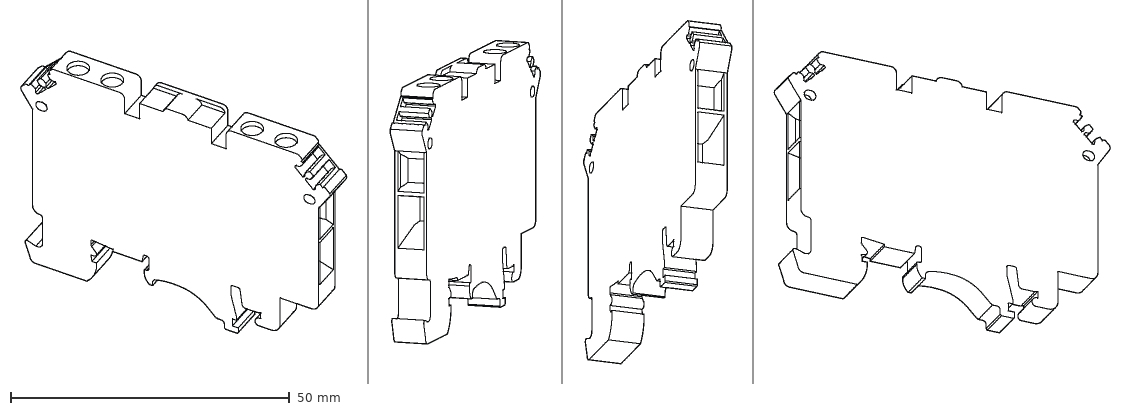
import cadquery as cq
import math

THICKNESS = 6.1
HEIGHT = 45.8
TIP_X = 31.8
BODY_X = 29.4
BODY_BOTTOM_Z = 11.5
BODY_CORNER_R = 1.45
EAR_BASE_Z = 35.0

SLOT_INNER_X = 7.4
SLOT_OUTER_X = 10.4
SLOT_FLOOR_Z = 41.35
TOP_CORNER_R = 1.15

RECESS_DEPTH = 0.95
RECESS_BACK_WALL = 1.0
RECESS_CREST_R = 1.2
CREST_X = 1.4

SCREW_HOLE_D = 4.1
SCREW_HOLE_DEPTH = 1.0
SCREW_HOLE_X = (14.4, 21.4)
SCREW_HOLE_Y = 2.5

GROOVE_BACK_WALL = 0.5
GROOVE_MOUTHS = ((-26.95, 43.45), (-29.1, 41.35))
GROOVE_MOUTH_HALF = 0.95
GROOVE_WAIST_HALF = 0.75
GROOVE_WAIST_DEPTHS = (0.7, 1.3)
GROOVE_LOBE_HALF = 1.3
GROOVE_LOBE_DEPTH = 1.85
GROOVE_FLOOR_HALF = 1.15
GROOVE_FLOOR_DEPTH = 2.3
GROOVE_LOBE_BULGE = 0.05
GROOVE_OVERSHOOT = 0.1

TEST_HOLE_X = 27.55
TEST_HOLE_Z = 36.4
TEST_HOLE_LENGTH = 2.3
TEST_HOLE_WIDTH = 1.9
TEST_HOLE_DEPTH = 1.9

FUNNEL_MOUTH_Y = (0.5, 5.5)
UPPER_MOUTH_Z = (27.6, EAR_BASE_Z)
UPPER_BACK_Y = (0.7, 4.7)
UPPER_BACK_Z = (28.75, 33.15)
UPPER_STRAIGHT = 1.5
UPPER_BEND = (2.1, 5.1)
UPPER_DEPTH = 3.25
LOWER_MOUTH_Z = (17.25, 26.85)
LOWER_BACK_Y = 4.95
LOWER_BACK_Z = (20.5, 24.9)
LOWER_STRAIGHT = 8.9
LOWER_DEPTH = 10.5


def rounding(center, radius, degrees):
    """Point on a circle in XZ at an angle from +X, used to draw corner arcs."""
    angle = math.radians(degrees)
    return (center[0] + radius * math.cos(angle), center[1] + radius * math.sin(angle))


def extrude_back(outline, depth):
    """Extrude a closed XZ outline from the front face towards +Y."""
    return outline.close().extrude(-depth)


def both_ends(shape):
    """The shape together with its mirror image across x = 0."""
    return shape.union(shape.mirror("YZ"))


def half_body():
    """Left half of the body, with its marker ear and top slot."""
    r = TOP_CORNER_R
    low = BODY_CORNER_R
    top_r_z = HEIGHT - r
    outline = (
        cq.Workplane("XZ")
        .moveTo(0, BODY_BOTTOM_Z)
        .lineTo(low - BODY_X, BODY_BOTTOM_Z)
        .threePointArc(
            rounding((low - BODY_X, BODY_BOTTOM_Z + low), low, 225),
            (-BODY_X, BODY_BOTTOM_Z + low),
        )
        .lineTo(-BODY_X, EAR_BASE_Z)
        .lineTo(-31.75, 38.55)
        .threePointArc((-TIP_X, 38.9), (-31.75, 39.3))
        .lineTo(-31.0, 40.05)
        .threePointArc((-30.65, 40.25), (-30.3, 40.05))
        .lineTo(-30.0, 40.4)
        .lineTo(-26.15, 44.25)
        .lineTo(-25.8, 44.4)
        .threePointArc((-26.0, 44.8), (-25.8, 45.2))
        .lineTo(-25.45, 45.6)
        .threePointArc((-25.25, 45.7), (-25.0, HEIGHT))
        .lineTo(-SLOT_OUTER_X - r, HEIGHT)
        .threePointArc(rounding((-SLOT_OUTER_X - r, top_r_z), r, 45), (-SLOT_OUTER_X, top_r_z))
        .lineTo(-SLOT_OUTER_X, SLOT_FLOOR_Z)
        .lineTo(-SLOT_INNER_X, SLOT_FLOOR_Z)
        .lineTo(-SLOT_INNER_X, top_r_z)
        .threePointArc(rounding((r - SLOT_INNER_X, top_r_z), r, 135), (r - SLOT_INNER_X, HEIGHT))
        .lineTo(0, HEIGHT)
    )
    return extrude_back(outline, THICKNESS)


def rail_foot():
    """Foot that clips on the mounting rail."""
    leg_left = -27.35
    leg_right = 21.5
    leg_blend = 0.6
    hook_blend = 1.0
    hook_z = 4.0
    toe_r = 1.9
    toe_z = 3.45
    overlap = 3.2
    inside_z = BODY_BOTTOM_Z + overlap
    outline = (
        cq.Workplane("XZ")
        .moveTo(leg_left - leg_blend, inside_z)
        .lineTo(leg_left - leg_blend, BODY_BOTTOM_Z)
        .threePointArc(
            rounding((leg_left - leg_blend, BODY_BOTTOM_Z - leg_blend), leg_blend, 45),
            (leg_left, BODY_BOTTOM_Z - leg_blend),
        )
        .lineTo(leg_left, hook_z + hook_blend)
        .threePointArc(
            rounding((leg_left - hook_blend, hook_z + hook_blend), hook_blend, -45),
            (leg_left - hook_blend, hook_z),
        )
        .lineTo(-28.7, hook_z)
        .lineTo(-30.35, 4.6)
        .threePointArc((-30.8, 4.45), (-30.85, 3.8))
        .lineTo(-29.95, 1.15)
        .threePointArc((-29.65, 0.4), (-28.9, 0))
        .lineTo(-18.2, 0)
        .threePointArc((-16.7, 2.05), (-16.2, 4.95))
        .lineTo(-17.2, 4.95)
        .lineTo(-17.35, 6.3)
        .lineTo(-16.7, 6.35)
        .threePointArc((-16.3, 6.7), (-16.3, 7.25))
        .lineTo(-17.25, 8.3)
        .lineTo(-17.35, 8.7)
        .lineTo(-17.35, 9.5)
        .threePointArc((-17.3, 9.7), (-17.0, 9.8))
        .lineTo(-12.85, 9.35)
        .lineTo(-12.85, 8.85)
        .lineTo(-6.9, 8.85)
        .lineTo(-6.7, 9.9)
        .threePointArc((-6.05, 10.55), (-5.5, 10.05))
        .lineTo(-5.5, 7.75)
        .threePointArc((-5.6, 7.4), (-5.9, 7.25))
        .threePointArc((-6.35, 7.2), (-6.4, 6.75))
        .threePointArc((-6.2, 5.3), (-5.35, 4.2))
        .lineTo(-4.7, 4.2)
        .lineTo(-4.7, 5.0)
        .threePointArc((-4.4, 5.6), (-3.75, 5.85))
        .threePointArc((-1.9, 6.2), (0.95, 6.2))
        .threePointArc((4.4, 5.2), (7.0, 3.2))
        .lineTo(8.15, 2.05)
        .lineTo(8.5, 1.8)
        .lineTo(9.4, 1.8)
        .threePointArc((9.85, 1.6), (10.05, 1.15))
        .lineTo(10.05, 0.25)
        .lineTo(10.3, 0)
        .lineTo(12.7, 0)
        .lineTo(12.9, 0.25)
        .lineTo(12.9, 1.35)
        .lineTo(11.7, 1.35)
        .lineTo(11.7, 2.9)
        .lineTo(12.5, 2.9)
        .lineTo(12.5, 3.8)
        .lineTo(11.4, 8.4)
        .lineTo(11.4, 10.1)
        .threePointArc((11.5, 10.4), (11.8, 10.55))
        .lineTo(12.85, 10.55)
        .threePointArc((13.15, 10.4), (13.3, 10.1))
        .lineTo(13.7, 7.1)
        .threePointArc((13.9, 6.55), (14.45, 6.35))
        .lineTo(16.9, 6.35)
        .lineTo(17.5, 6.55)
        .lineTo(17.5, 5.2)
        .threePointArc((16.6, 4.9), (16.35, 4.15))
        .threePointArc((16.55, 3.7), (17.05, toe_z))
        .lineTo(leg_right - toe_r, toe_z)
        .threePointArc(
            rounding((leg_right - toe_r, toe_z + toe_r), toe_r, -45), (leg_right, toe_z + toe_r)
        )
        .lineTo(leg_right, inside_z)
    )
    return extrude_back(outline, THICKNESS)


def centre_recess():
    """Shallow recess beside the crest, with a rounded crest edge."""
    r = RECESS_CREST_R
    floor_z = HEIGHT - RECESS_DEPTH
    crest_center = (-CREST_X, HEIGHT - r)
    floor_angle = 180 - math.degrees(math.asin((r - RECESS_DEPTH) / r))
    outline = (
        cq.Workplane("XZ")
        .moveTo(-CREST_X, HEIGHT)
        .threePointArc(
            rounding(crest_center, r, (90 + floor_angle) / 2),
            rounding(crest_center, r, floor_angle),
        )
        .lineTo(-SLOT_INNER_X, floor_z)
        .lineTo(-SLOT_INNER_X, HEIGHT)
    )
    return extrude_back(outline, THICKNESS - RECESS_BACK_WALL)


def screw_holes():
    points = [(-x, SCREW_HOLE_Y) for x in SCREW_HOLE_X]
    return (
        cq.Workplane("XY", origin=(0, 0, HEIGHT))
        .pushPoints(points)
        .circle(SCREW_HOLE_D / 2)
        .extrude(-SCREW_HOLE_DEPTH)
    )


def marker_groove(mouth):
    """Waisted groove entering the 45 degree ear face at right angles."""
    diagonal = math.sqrt(2)

    def at(across, depth):
        return (mouth[0] + (across + depth) / diagonal, mouth[1] + (across - depth) / diagonal)

    waist_start, waist_end = GROOVE_WAIST_DEPTHS
    lobe_mid = (GROOVE_LOBE_HALF + GROOVE_FLOOR_HALF) / 2 + GROOVE_LOBE_BULGE
    lobe_mid_depth = (GROOVE_LOBE_DEPTH + GROOVE_FLOOR_DEPTH) / 2
    outline = (
        cq.Workplane("XZ")
        .moveTo(*at(-GROOVE_MOUTH_HALF, 0))
        .lineTo(*at(-GROOVE_WAIST_HALF, waist_start))
        .lineTo(*at(-GROOVE_WAIST_HALF, waist_end))
        .lineTo(*at(-GROOVE_LOBE_HALF, GROOVE_LOBE_DEPTH))
        .threePointArc(at(-lobe_mid, lobe_mid_depth), at(-GROOVE_FLOOR_HALF, GROOVE_FLOOR_DEPTH))
        .lineTo(*at(GROOVE_FLOOR_HALF, GROOVE_FLOOR_DEPTH))
        .threePointArc(at(lobe_mid, lobe_mid_depth), at(GROOVE_LOBE_HALF, GROOVE_LOBE_DEPTH))
        .lineTo(*at(GROOVE_WAIST_HALF, waist_end))
        .lineTo(*at(GROOVE_WAIST_HALF, waist_start))
        .lineTo(*at(GROOVE_MOUTH_HALF, 0))
        .lineTo(*at(GROOVE_MOUTH_HALF, -GROOVE_OVERSHOOT))
        .lineTo(*at(-GROOVE_MOUTH_HALF, -GROOVE_OVERSHOOT))
    )
    return extrude_back(outline, THICKNESS - GROOVE_BACK_WALL)


def test_hole():
    return (
        cq.Workplane("XZ")
        .center(-TEST_HOLE_X, TEST_HOLE_Z)
        .slot2D(TEST_HOLE_LENGTH, TEST_HOLE_WIDTH)
        .extrude(-TEST_HOLE_DEPTH)
    )


def wire_funnel(mouth_z, back_z, depth, plan):
    """Funnel in the left end face: its side profile crossed with its plan.

    The plan is a list of (depth below the end face, y) points.
    """
    side = [(0, mouth_z[0]), (depth, back_z[0]), (depth, back_z[1]), (0, mouth_z[1])]
    side_outline = cq.Workplane("XZ", origin=(-BODY_X, 0, 0)).polyline(side)
    plan_outline = cq.Workplane("XY", origin=(-BODY_X, 0, 0)).polyline(plan)
    return extrude_back(side_outline, THICKNESS).intersect(plan_outline.close().extrude(HEIGHT))


def upper_funnel():
    plan = [
        (0, FUNNEL_MOUTH_Y[0]),
        (UPPER_STRAIGHT, FUNNEL_MOUTH_Y[0]),
        (UPPER_DEPTH, UPPER_BACK_Y[0]),
        (UPPER_DEPTH, UPPER_BACK_Y[1]),
        UPPER_BEND,
        (UPPER_STRAIGHT, FUNNEL_MOUTH_Y[1]),
        (0, FUNNEL_MOUTH_Y[1]),
    ]
    return wire_funnel(UPPER_MOUTH_Z, UPPER_BACK_Z, UPPER_DEPTH, plan)


def lower_funnel():
    plan = [
        (0, FUNNEL_MOUTH_Y[0]),
        (LOWER_DEPTH, FUNNEL_MOUTH_Y[0]),
        (LOWER_DEPTH, LOWER_BACK_Y),
        (LOWER_STRAIGHT, FUNNEL_MOUTH_Y[1]),
        (0, FUNNEL_MOUTH_Y[1]),
    ]
    return wire_funnel(LOWER_MOUTH_Z, LOWER_BACK_Z, LOWER_DEPTH, plan)


pockets = [centre_recess(), screw_holes(), test_hole(), upper_funnel(), lower_funnel()]
pockets += [marker_groove(mouth) for mouth in GROOVE_MOUTHS]

result = both_ends(half_body()).union(rail_foot()).clean()
for pocket in pockets:
    result = result.cut(both_ends(pocket))